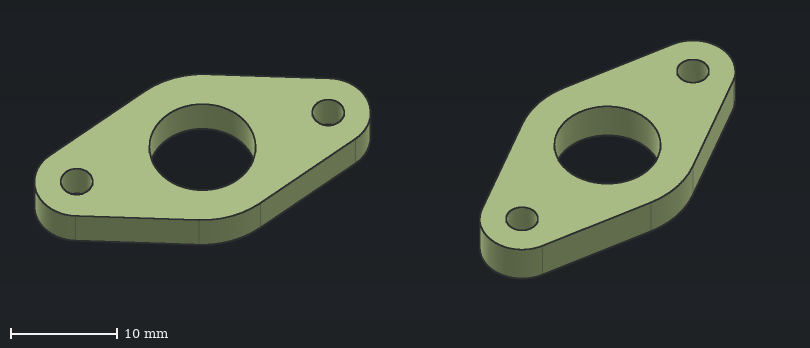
import cadquery as cq
import math

length = 33.0
width = 17.0
thickness = 4.0
end_radius = 4.0
bore_diameter = 10.0
bolt_hole_diameter = 3.0

middle_radius = width / 2
hole_offset = length / 2 - end_radius

flank_angle = math.asin((middle_radius - end_radius) / hole_offset)
normal_x = math.cos(flank_angle)
normal_y = math.sin(flank_angle)
middle_x = middle_radius * normal_x
middle_y = middle_radius * normal_y
end_x = end_radius * normal_x
end_y = hole_offset + end_radius * normal_y


def make_plate():
    """Diamond-shaped flange plate with rounded corners, resting on Z = 0."""
    return (
        cq.Workplane("XY")
        .moveTo(middle_x, -middle_y)
        .threePointArc((middle_radius, 0), (middle_x, middle_y))
        .lineTo(end_x, end_y)
        .threePointArc((0, length / 2), (-end_x, end_y))
        .lineTo(-middle_x, middle_y)
        .threePointArc((-middle_radius, 0), (-middle_x, -middle_y))
        .lineTo(-end_x, -end_y)
        .threePointArc((0, -length / 2), (end_x, -end_y))
        .close()
        .extrude(thickness)
    )


plate = make_plate()

plate = plate.faces(">Z").workplane(origin=(0, 0, thickness)).hole(bore_diameter)

result = (
    plate.faces(">Z")
    .workplane(origin=(0, 0, thickness))
    .pushPoints([(0, -hole_offset), (0, hole_offset)])
    .hole(bolt_hole_diameter)
)